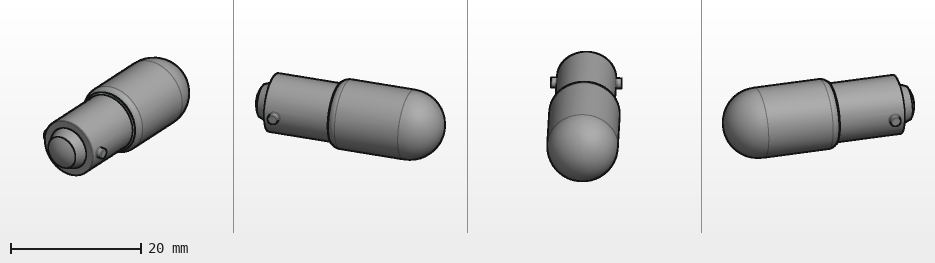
import cadquery as cq
import math

length = 30.23

bulb_diameter = 10.9
bulb_radius = bulb_diameter / 2
bulb_bottom_y = 13.2
dome_height = 5.6
shoulder_fillet_radius = 1.5
shoulder_top_y = 14.35

sleeve_radius = 4.6
sleeve_bottom_y = 2.6
sleeve_edge_fillet = 0.1
rim_land = 0.1
rim_taper = 0.15

contact_root_radius = 3.35
contact_shoulder_radius = 2.6
contact_cap_height = 0.85

pin_radius = 0.82
pin_y = 4.3
pin_reach = bulb_radius
pin_fillet = 0.12

shoulder_center_radius = bulb_radius - shoulder_fillet_radius


def shoulder_arc_point(y):
    """Point (radius, y) of the shoulder arc at height y."""
    drop = shoulder_top_y - y
    radius = shoulder_center_radius + math.sqrt(shoulder_fillet_radius**2 - drop**2)
    return (radius, y)


rim_radius = shoulder_arc_point(bulb_bottom_y)[0]


def cap_middle(edge_radius, height):
    """Middle of a spherical cap's profile arc, as (radius, depth below the apex)."""
    sphere_radius = (edge_radius**2 + height**2) / (2 * height)
    half_angle = math.acos(1 - height / sphere_radius) / 2
    return sphere_radius * math.sin(half_angle), sphere_radius * (1 - math.cos(half_angle))


def revolve_about_y(profile):
    """Close a profile drawn as (radius, y) and turn it around the lamp axis."""
    return profile.close().revolve(360, (0, 0, 0), (0, 1, 0))


def make_bulb():
    dome_middle_radius, dome_middle_depth = cap_middle(bulb_radius, dome_height)
    shoulder_middle_y = (bulb_bottom_y + shoulder_top_y) / 2
    profile = (
        cq.Workplane("ZY")
        .moveTo(0, bulb_bottom_y)
        .lineTo(rim_radius, bulb_bottom_y)
        .threePointArc(shoulder_arc_point(shoulder_middle_y), (bulb_radius, shoulder_top_y))
        .lineTo(bulb_radius, length - dome_height)
        .threePointArc((dome_middle_radius, length - dome_middle_depth), (0, length))
    )
    return revolve_about_y(profile)


def make_sleeve():
    rim_land_bottom_y = bulb_bottom_y - rim_land
    sleeve_top_y = rim_land_bottom_y - rim_taper
    profile = (
        cq.Workplane("ZY")
        .moveTo(0, sleeve_bottom_y)
        .lineTo(sleeve_radius, sleeve_bottom_y)
        .lineTo(sleeve_radius, sleeve_top_y)
        .lineTo(rim_radius, rim_land_bottom_y)
        .lineTo(rim_radius, bulb_bottom_y)
        .lineTo(0, bulb_bottom_y)
    )
    return revolve_about_y(profile).faces("<Y").edges().fillet(sleeve_edge_fillet)


def make_contact():
    cap_middle_radius, cap_middle_y = cap_middle(contact_shoulder_radius, contact_cap_height)
    profile = (
        cq.Workplane("ZY")
        .moveTo(0, sleeve_bottom_y)
        .lineTo(contact_root_radius, sleeve_bottom_y)
        .lineTo(contact_shoulder_radius, contact_cap_height)
        .threePointArc((cap_middle_radius, cap_middle_y), (0, 0))
    )
    return revolve_about_y(profile)


def add_bayonet_pins(sleeve):
    """Join one through bar whose two ends are the pins, then round their tips and roots."""
    pins = (
        cq.Workplane("YZ", origin=(-pin_reach, pin_y, 0))
        .circle(pin_radius)
        .extrude(2 * pin_reach)
    )
    around_pins = cq.selectors.BoxSelector(
        (-2 * pin_reach, pin_y - pin_radius, -pin_radius),
        (2 * pin_reach, pin_y + pin_radius, pin_radius),
    )
    pin_edges = sleeve.union(pins).edges(around_pins).edges("not(%LINE)")
    return pin_edges.fillet(pin_fillet)


def make_base():
    return add_bayonet_pins(make_sleeve()).union(make_contact())


bulb = make_bulb()
base = make_base()

result = cq.Compound.makeCompound([bulb.val(), base.solids().val()])